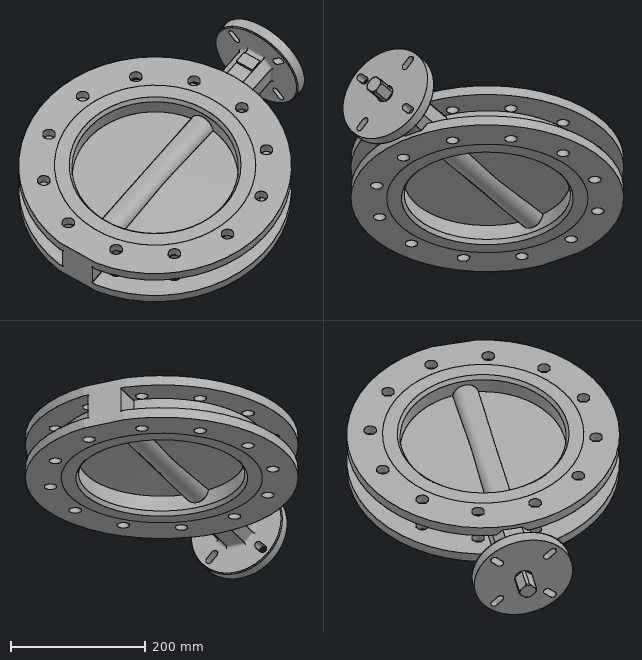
import cadquery as cq


BODY_DIAMETER = 406.0
BODY_HEIGHT = 69.5
FLANGE_THICKNESS = 16.0
WAIST_DIAMETER = 316.5
FOOT_DISTANCE = 200.5
FOOT_BOSS_WIDTH = 54.0
FOOT_BOSS_CORNER = 9.0

BOLT_COUNT = 12
BOLT_CIRCLE_RADIUS = 168.0
BOLT_HOLE_DIAMETER = 18.5

NECK_WIDTH = 57.0
NECK_FACE_WIDTH = 29.0
NECK_FILLET = 4.0
NAMEPLATE_LENGTH = 20.5
NAMEPLATE_THICKNESS = 3.5
NAMEPLATE_CENTRE_Y = 240.5

TOP_FLANGE_RADIUS = 75.0
TOP_FLANGE_THICKNESS = 19.0
TOP_FLANGE_FACE_Y = 280.0
TOP_FLANGE_CHAMFER = 1.5
SLOT_COUNT = 4
SLOT_WIDTH = 10.5
SLOT_INNER_RADIUS = 50.5
SLOT_OUTER_RADIUS = 63.0

LINER_RADIUS = 149.5
BORE_RADIUS = 123.5
LEAD_IN_WIDTH = 4.0
LEAD_IN_HEIGHT = 6.5

DISC_RIM_HALF_THICKNESS = 3.5
DISC_CENTRE_HALF_THICKNESS = 8.5
HUB_RADIUS = 20.0

STEM_DIAMETER = 27.0
STEM_TIP_Y = 310.5
STEM_DEPTH_IN_DISC = 51.0
SQUARE_WIDTH = 22.5
STEM_TIP_CHAMFER = 1.5

BODY_RADIUS = BODY_DIAMETER / 2
WAIST_RADIUS = WAIST_DIAMETER / 2
STEM_RADIUS = STEM_DIAMETER / 2
NECK_CORNER = (NECK_WIDTH - NECK_FACE_WIDTH) / 2
NECK_END_Y = TOP_FLANGE_FACE_Y - TOP_FLANGE_THICKNESS
STEM_START_Y = BORE_RADIUS - STEM_DEPTH_IN_DISC
WAIST_HEIGHT = BODY_HEIGHT - 2 * FLANGE_THICKNESS


def z_cylinder(radius, height):
    """Cylinder on the bore axis, centred on the origin."""
    return cq.Workplane("XY").circle(radius).extrude(height / 2, both=True)


def plane_across_stem(y):
    """Work plane at height y on the stem axis, facing +Y."""
    return cq.Workplane(cq.Plane(origin=(0, y, 0), xDir=(1, 0, 0), normal=(0, 1, 0)))


def y_cylinder(radius, start_y, end_y):
    return plane_across_stem(start_y).circle(radius).extrude(end_y - start_y)


def y_octagonal_bar(width, corner, start_y, end_y):
    """Square bar along Y with its four long edges cut off at 45 degrees."""
    bar = plane_across_stem(start_y).rect(width, width).extrude(end_y - start_y)
    return bar.edges("|Y").chamfer(corner)


def make_stem():
    """Round stem with a square drive end turned by 45 degrees."""
    stem = y_cylinder(STEM_RADIUS, STEM_START_Y, STEM_TIP_Y).faces(">Y").chamfer(STEM_TIP_CHAMFER)
    drive_length = STEM_TIP_Y - TOP_FLANGE_FACE_Y
    square = (
        plane_across_stem(TOP_FLANGE_FACE_Y)
        .transformed(rotate=(0, 0, 45))
        .rect(SQUARE_WIDTH, SQUARE_WIDTH)
        .extrude(drive_length)
    )
    around_square = y_cylinder(2 * STEM_RADIUS, TOP_FLANGE_FACE_Y, STEM_TIP_Y).cut(square)
    return stem.cut(around_square)


def stem_hole():
    return y_cylinder(STEM_RADIUS, STEM_START_Y, STEM_TIP_Y)


def make_ring():
    """Two flanges joined by a narrower waist, with a flat foot on the -Y side."""
    groove = z_cylinder(2 * BODY_RADIUS, WAIST_HEIGHT).cut(z_cylinder(WAIST_RADIUS, WAIST_HEIGHT))
    ring = z_cylinder(BODY_RADIUS, BODY_HEIGHT).cut(groove)
    foot_boss = y_octagonal_bar(FOOT_BOSS_WIDTH, FOOT_BOSS_CORNER, -BODY_RADIUS, -LINER_RADIUS)
    below_foot = y_cylinder(BODY_RADIUS, -2 * BODY_RADIUS, -FOOT_DISTANCE)
    return ring.union(foot_boss).cut(below_foot)


def bolt_holes():
    return (
        cq.Workplane("XY")
        .polarArray(BOLT_CIRCLE_RADIUS, 180 / BOLT_COUNT, 360, BOLT_COUNT)
        .circle(BOLT_HOLE_DIAMETER / 2)
        .extrude(BODY_HEIGHT, both=True)
    )


def make_neck_and_flange():
    """Octagonal neck with a filleted root on the round actuator flange."""
    neck = y_octagonal_bar(NECK_WIDTH, NECK_CORNER, LINER_RADIUS, NECK_END_Y)
    flange = y_cylinder(TOP_FLANGE_RADIUS, NECK_END_Y, TOP_FLANGE_FACE_Y)
    flange = flange.faces("<Y").chamfer(TOP_FLANGE_CHAMFER)
    root_zone = cq.selectors.BoxSelector(
        (-NECK_WIDTH, NECK_END_Y - NECK_FILLET, -NECK_WIDTH),
        (NECK_WIDTH, NECK_END_Y + NECK_FILLET, NECK_WIDTH),
    )
    return neck.union(flange).edges(root_zone).edges("%LINE").fillet(NECK_FILLET)


def actuator_slots():
    """Radial slots through the actuator flange, midway between the X and Z axes."""
    return (
        plane_across_stem(NECK_END_Y)
        .polarArray((SLOT_INNER_RADIUS + SLOT_OUTER_RADIUS) / 2, 180 / SLOT_COUNT, 360, SLOT_COUNT)
        .slot2D(SLOT_OUTER_RADIUS - SLOT_INNER_RADIUS + SLOT_WIDTH, SLOT_WIDTH)
        .extrude(TOP_FLANGE_THICKNESS)
    )


def nameplate():
    """Plain raised pad on the +Z face of the neck."""
    return (
        cq.Workplane("XY", origin=(0, NAMEPLATE_CENTRE_Y, NECK_WIDTH / 2))
        .rect(NECK_FACE_WIDTH, NAMEPLATE_LENGTH)
        .extrude(NAMEPLATE_THICKNESS)
    )


def make_housing():
    housing = make_ring().union(make_neck_and_flange()).union(nameplate())
    housing = housing.cut(z_cylinder(LINER_RADIUS, BODY_HEIGHT))
    return housing.cut(bolt_holes()).cut(actuator_slots()).cut(stem_hole())


def make_liner():
    """Sleeve flush with both flange faces, with a conical lead-in at each end of the bore."""
    half_height = BODY_HEIGHT / 2
    bore_end = half_height - LEAD_IN_HEIGHT
    mouth_radius = BORE_RADIUS + LEAD_IN_WIDTH
    profile = [
        (LINER_RADIUS, -half_height),
        (LINER_RADIUS, half_height),
        (mouth_radius, half_height),
        (BORE_RADIUS, bore_end),
        (BORE_RADIUS, -bore_end),
        (mouth_radius, -half_height),
    ]
    liner = cq.Workplane("XZ").polyline(profile).close().revolve(360, (0, 0), (0, 1))
    return liner.cut(stem_hole())


def make_disc():
    """Shallow double cone filling the bore, with a round hub along the stem axis."""
    profile = [
        (0, -DISC_CENTRE_HALF_THICKNESS),
        (BORE_RADIUS, -DISC_RIM_HALF_THICKNESS),
        (BORE_RADIUS, DISC_RIM_HALF_THICKNESS),
        (0, DISC_CENTRE_HALF_THICKNESS),
    ]
    plate = cq.Workplane("XZ").polyline(profile).close().revolve(360, (0, 0), (0, 1))
    hub = y_cylinder(HUB_RADIUS, -BORE_RADIUS, BORE_RADIUS)
    hub = hub.intersect(z_cylinder(BORE_RADIUS, BODY_HEIGHT))
    return plate.union(hub).cut(stem_hole())


housing = make_housing()
liner = make_liner()
disc = make_disc()
stem = make_stem()

result = cq.Compound.makeCompound([housing.val(), liner.val(), disc.val(), stem.val()])